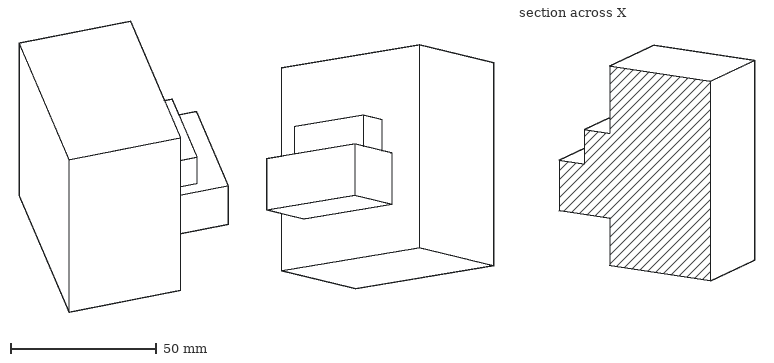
import cadquery as cq

body_width = 61.81
body_depth = 40.0
body_height = 71.37

lower_width = 39.4
lower_depth = 20.0
lower_height = 18.1
lower_bottom = 16.9
lower_left = 12.4

upper_width = 30.8
upper_depth = 10.0
upper_height = 12.3
upper_left = 16.9


def corner_box(width, depth, height, left, front, bottom):
    """Box placed by its left, front, bottom corner."""
    return (
        cq.Workplane("XY")
        .box(width, depth, height, centered=False)
        .translate((left, front, bottom))
    )


body = corner_box(body_width, body_depth, body_height, 0, 0, 0)

lower_block = corner_box(
    lower_width, lower_depth, lower_height, lower_left, body_depth, lower_bottom
)

upper_bottom = lower_bottom + lower_height
upper_block = corner_box(
    upper_width, upper_depth, upper_height, upper_left, body_depth, upper_bottom
)

result = body.union(lower_block).union(upper_block)